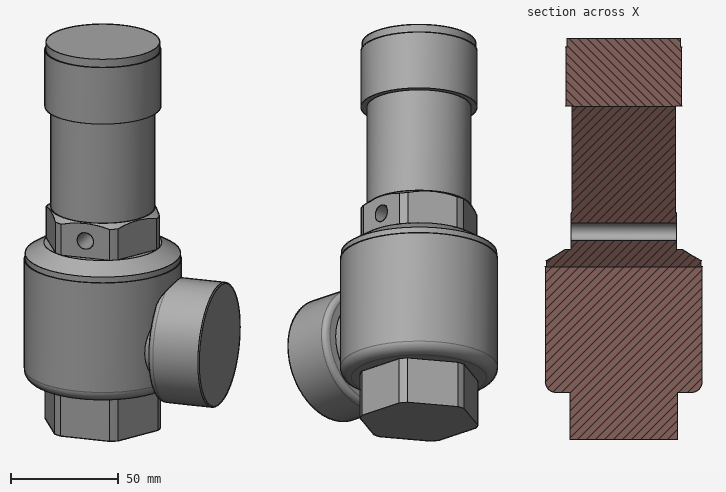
import cadquery as cq


total_height = 186.0
barrel_bottom = 21.8
housing_top = 80.2
nut_bottom = 88.2
nut_top = 105.3
cap_bottom = 154.5

barrel_radius = 36.5
barrel_bottom_fillet = 5.0
inlet_across_flats = 50.0
inlet_corner_diameter = 55.6

outlet_height = 44.3
outlet_radius = 29.2
outlet_start = 32.0
outlet_end = 57.5
outlet_back_fillet = 2.8
outlet_mouth_chamfer = 0.5
neck_radius = 22.7
neck_start = barrel_radius / 2

flange_radius = 36.0
flange_rim_height = 2.8
flange_top_radius = 27.3
nut_across_flats = 49.1
nut_corner_diameter = 54.5
nut_chamfer_height = 2.0
nut_chamfer_width = 3.3
vent_diameter = 8.0
vent_height = 96.3
tube_radius = 24.2

cap_radius = 27.0
cap_rim_radius = 26.5
cap_rim_height = 3.9

flat_turn = 30.0


def cylinder(radius, bottom, top):
    """Solid cylinder on the valve axis between two heights."""
    return cq.Workplane("XY").workplane(offset=bottom).circle(radius).extrude(top - bottom)


def outlet_cylinder(radius, start, end):
    """Solid cylinder on the outlet axis between two X positions."""
    plane = cq.Workplane("YZ", origin=(start, 0, outlet_height))
    return plane.circle(radius).extrude(end - start)


def hexagon(across_flats, bottom, top):
    """Hexagonal prism with two flats facing +Y and -Y."""
    plane = cq.Workplane("XY").workplane(offset=bottom)
    plane = plane.transformed(rotate=(0, 0, flat_turn))
    return plane.polygon(6, across_flats, circumscribed=True).extrude(top - bottom)


def make_housing():
    """Round barrel above an inlet hexagon with turned corners."""
    inlet = hexagon(inlet_across_flats, 0, barrel_bottom)
    inlet = inlet.intersect(cylinder(inlet_corner_diameter / 2, 0, barrel_bottom))
    barrel = cylinder(barrel_radius, barrel_bottom, housing_top)
    barrel = barrel.faces("<Z").edges().fillet(barrel_bottom_fillet)
    return barrel.union(inlet)


def make_outlet(housing):
    """Socket and neck, cut to a saddle that seats against the housing barrel."""
    neck = outlet_cylinder(neck_radius, neck_start, outlet_start)
    socket = outlet_cylinder(outlet_radius, outlet_start, outlet_end)
    socket = socket.faces("<X").edges().fillet(outlet_back_fillet)
    socket = socket.faces(">X").edges().chamfer(outlet_mouth_chamfer)
    return socket.union(neck).cut(housing)


def make_bonnet():
    """Conical flange carrying a chamfered hexagon nut with a cross vent hole, and the tube."""
    flange = (
        cq.Workplane("XZ")
        .moveTo(0, housing_top)
        .lineTo(flange_radius, housing_top)
        .lineTo(flange_radius, housing_top + flange_rim_height)
        .lineTo(flange_top_radius, nut_bottom)
        .lineTo(0, nut_bottom)
        .close()
        .revolve(360, (0, 0, 0), (0, 1, 0))
    )
    turned_blank = (
        cylinder(nut_corner_diameter / 2, nut_bottom, nut_top)
        .faces(">Z")
        .edges()
        .chamfer(nut_chamfer_height, nut_chamfer_width)
    )
    nut = hexagon(nut_across_flats, nut_bottom, nut_top).intersect(turned_blank)
    vent = (
        cq.Workplane("XZ", origin=(0, 0, vent_height))
        .circle(vent_diameter / 2)
        .extrude(nut_across_flats, both=True)
    )
    tube = cylinder(tube_radius, nut_top, cap_bottom)
    return flange.union(nut).cut(vent).union(tube)


def make_cap():
    """Round cap with a slightly smaller rim at its top."""
    rim_bottom = total_height - cap_rim_height
    skirt = cylinder(cap_radius, cap_bottom, rim_bottom)
    return skirt.union(cylinder(cap_rim_radius, rim_bottom, total_height))


housing = make_housing()
outlet = make_outlet(housing)
bonnet = make_bonnet()
cap = make_cap()

result = cq.Compound.makeCompound([housing.val(), outlet.val(), bonnet.val(), cap.val()])